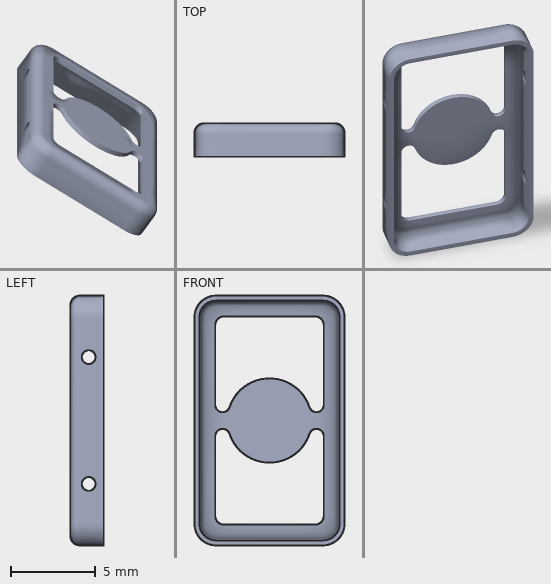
import cadquery as cq

width = 8.9
depth = 2.0
height = 14.8
corner_radius = 1.3
wall = 0.3

outer_edge_radius = 0.6
inner_edge_radius = outer_edge_radius - wall

rim = 1.25
window_corner_radius = 0.5
disc_radius = 2.5
crossbar_height = 1.0
neck_radius = 0.42

hole_diameter = 0.8
hole_from_open_edge = 0.9
hole_spacing = 7.5

open_y = -depth / 2
back_y = depth / 2
floor_y = back_y - wall
window_width = width - 2 * rim
window_height = (height - 2 * rim - crossbar_height) / 2
window_center_z = (crossbar_height + window_height) / 2


def rounded_block(size_x, size_z, front_y, rear_y, block_corner_radius, rear_radius):
    """Block between two Y planes with rounded corners and a rounded rear rim."""
    length_y = rear_y - front_y
    block = cq.Workplane("XY").box(size_x, length_y, size_z)
    block = block.edges("|Y").fillet(block_corner_radius)
    block = block.faces(">Y").edges().fillet(rear_radius)
    return block.translate((0, (front_y + rear_y) / 2, 0))


def make_tray():
    outer = rounded_block(width, height, open_y, back_y, corner_radius, outer_edge_radius)
    cavity = rounded_block(
        width - 2 * wall,
        height - 2 * wall,
        open_y,
        floor_y,
        corner_radius - wall,
        inner_edge_radius,
    )
    return outer.cut(cavity)


def make_window(side):
    """Cutter for the window above (side = 1) or below (side = -1) the crossbar."""
    floor_mid_y = (floor_y + back_y) / 2
    window = cq.Workplane("XY").box(window_width, wall, window_height)
    window = window.translate((0, floor_mid_y, side * window_center_z))
    disc = cq.Workplane("XZ", origin=(0, back_y, 0)).circle(disc_radius).extrude(wall)
    window = window.cut(disc)
    outer_end = ">Z" if side > 0 else "<Z"
    window = window.faces(outer_end).edges("|Y").fillet(window_corner_radius)
    crossbar_end = "<Z" if side > 0 else ">Z"
    return window.faces(crossbar_end).edges("|Y").fillet(neck_radius)


def make_pin_holes():
    hole_y = open_y + hole_from_open_edge
    return (
        cq.Workplane("YZ", origin=(-width / 2, 0, 0))
        .pushPoints([(hole_y, side * hole_spacing / 2) for side in (-1, 1)])
        .circle(hole_diameter / 2)
        .extrude(width)
    )


tray = make_tray()
for window_side in (-1, 1):
    tray = tray.cut(make_window(window_side))

result = tray.cut(make_pin_holes())